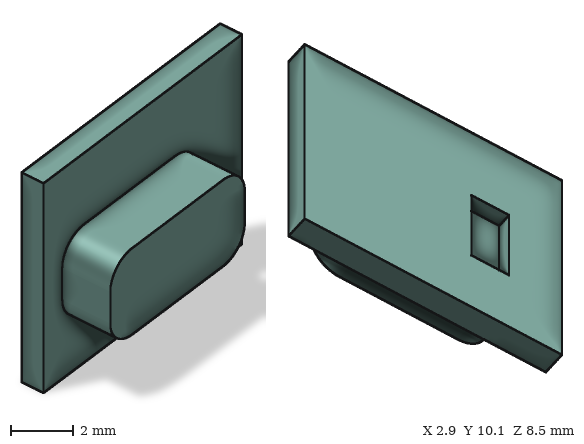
import cadquery as cq

plate_thickness = 0.91
plate_width = 10.09
plate_height = 8.5

overall_depth = 2.9
boss_length = overall_depth - plate_thickness
boss_width = 6.84
boss_height = 3.5
boss_corner_radius = 1.11
boss_center_y = -0.68
boss_center_z = -0.39

pocket_depth = 0.55
pocket_width = 1.48
pocket_height = 2.93
pocket_center_y = -2.23
pocket_center_z = -0.27


def block(length, width, height, start_x, center_y, center_z):
    """Box starting at start_x and centred on the given Y and Z."""
    return (
        cq.Workplane("XY")
        .box(length, width, height, centered=(False, True, True))
        .translate((start_x, center_y, center_z))
    )


plate = block(plate_thickness, plate_width, plate_height, 0, 0, 0)

boss = block(
    boss_length, boss_width, boss_height, plate_thickness, boss_center_y, boss_center_z
).edges("|X").fillet(boss_corner_radius)

pocket = block(pocket_depth, pocket_width, pocket_height, 0, pocket_center_y, pocket_center_z)

result = plate.union(boss).cut(pocket)